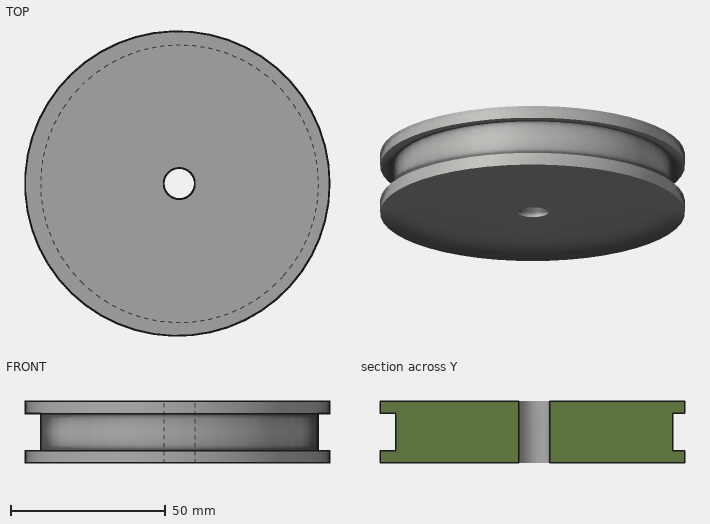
import cadquery as cq

flange_diameter = 98.75
flange_thickness = 4.0
total_height = 20.0
hub_diameter = 90.0
bore_diameter = 10.0

axis_offset = (0.625, 0.0)

hub_height = total_height - 2 * flange_thickness


def flange(base_height):
    """Round end plate centred on the flange axis."""
    return (
        cq.Workplane("XY")
        .workplane(offset=base_height)
        .circle(flange_diameter / 2)
        .extrude(flange_thickness)
    )


def hub():
    """Drum between the two flanges, on the offset axis."""
    return (
        cq.Workplane("XY")
        .workplane(offset=flange_thickness)
        .center(*axis_offset)
        .circle(hub_diameter / 2)
        .extrude(hub_height)
    )


def bore():
    """Through hole along the offset axis."""
    return (
        cq.Workplane("XY")
        .center(*axis_offset)
        .circle(bore_diameter / 2)
        .extrude(total_height)
    )


lower_flange = flange(0)
upper_flange = flange(total_height - flange_thickness)
result = lower_flange.union(hub()).union(upper_flange).cut(bore())